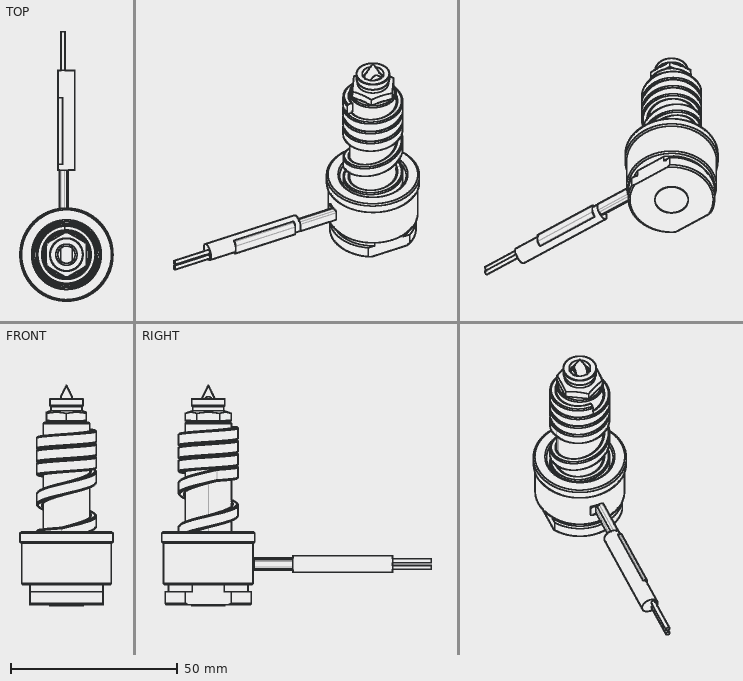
import cadquery as cq
import math

pad_radius = 5.0
pad_height = 0.2
foot_radius = 13.0
foot_top_z = 4.2
foot_neck_radius = 12.0
body_bottom_z = 6.2
body_radius = 13.5
rim_radius = 14.0
rim_bottom_z = 18.7
rim_top_z = 22.2
edge_chamfer = 0.5
wrench_flat_width = 22.0
well_radius = 10.0
well_floor_z = 7.2

core_radius = 7.0
core_top_z = 55.1
core_chamfer = 0.4
undercut_radius = 5.3
hex_bottom_z = 55.6
hex_across_flats = 12.0
hex_turn = 30.0
hex_corner_top_z = 57.75
neck_radius = 4.7
neck_bottom_z = 58.55
neck_top_z = 59.75
flange_radius = 5.0
flange_bottom_z = 60.2
flange_top_z = 62.2
flange_edge_chamfer = 0.15

tip_bore_radius = 3.2
tip_bore_floor_z = flange_bottom_z
tip_z = 66.2
tip_radius = 2.6
tip_slope = 0.5
tip_flat_width = 3.4

coil_outer_radius = 9.0
coil_inner_radius = 7.05
coil_web_radius = 6.8
coil_height = 3.75
coil_chamfer = 0.4
tight_pitch = 3.91
open_pitch = 13.3
coil_top_angle = 94.0
coil_top_z = 51.8
upper_tight_sweep = 3 * 360 + 78.0
open_sweep = 476.0
lower_tight_sweep = 3 * 360.0

cable_z = 12.5
gland_width = 4.2
gland_end_y = 13.8
gland_corner_radius = 0.5
cable_height = 3.7
cable_left_x = -2.15
cable_right_x = 0.05
cable_left_radius = 0.5
cable_right_radius = 0.72
strand_right_x = 0.55
strand_height = 2.7
strand_corner_radius = 0.5
sleeve_radius = 2.55
sleeve_start_y = 25.4
sleeve_length = 30.0
label_start_y = 27.2
label_length = 20.0
label_height = 4.6
label_corner_radius = 0.97
wire_diameter = 1.25
wire_x = -1.05
wire_spacing = 2.0
wire_end_y = 67.0


def revolve_profile(points):
    """Solid of revolution about Z from (radius, z) points."""
    return cq.Workplane("XZ").polyline(points).close().revolve(360, (0, 0, 0), (0, 1, 0))


def bar_along_y(width, height, length, center_x, start_y, center_z):
    """Rectangular bar running towards +Y."""
    bar = cq.Workplane("XY").box(width, length, height, centered=(True, False, True))
    return bar.translate((center_x, start_y, center_z))


def rod_along_y(radius, start_y, end_y, x, z):
    """Round rod running towards +Y."""
    return cq.Workplane(cq.Solid.makeCylinder(
        radius, end_y - start_y, cq.Vector(x, start_y, z), cq.Vector(0, 1, 0)))


def make_housing():
    """Foot, body and rim with a central well for the coil."""
    c = edge_chamfer
    housing = revolve_profile([
        (0, pad_height),
        (foot_radius - c, pad_height),
        (foot_radius, pad_height + c),
        (foot_radius, foot_top_z),
        (foot_neck_radius, foot_top_z),
        (foot_neck_radius, body_bottom_z),
        (body_radius - c, body_bottom_z),
        (body_radius, body_bottom_z + c),
        (body_radius, rim_bottom_z),
        (rim_radius, rim_bottom_z + c),
        (rim_radius, rim_top_z - c),
        (rim_radius - c, rim_top_z),
        (well_radius + c, rim_top_z),
        (well_radius, rim_top_z - c),
        (well_radius, well_floor_z + c),
        (well_radius - c, well_floor_z),
        (0, well_floor_z),
    ])
    flat_block = cq.Workplane("XY").box(
        rim_radius, 2 * rim_radius, body_bottom_z, centered=(False, True, False))
    flat_x = wrench_flat_width / 2
    housing = housing.cut(flat_block.translate((flat_x, 0, 0)))
    housing = housing.cut(flat_block.translate((-flat_x - rim_radius, 0, 0)))
    pad = cq.Workplane("XY").circle(pad_radius).extrude(2 * pad_height)
    return housing.union(pad)


def make_core():
    """Nozzle core with its hexagon, neck, bored flange and pointed tip."""
    hex_corner_radius = hex_across_flats / math.sqrt(3)
    core = revolve_profile([
        (0, body_bottom_z),
        (core_radius, body_bottom_z),
        (core_radius, core_top_z - core_chamfer),
        (core_radius - core_chamfer, core_top_z),
        (undercut_radius, core_top_z),
        (undercut_radius, hex_bottom_z),
        (0, hex_bottom_z),
    ])
    head = revolve_profile([
        (0, hex_bottom_z),
        (hex_corner_radius, hex_bottom_z),
        (hex_corner_radius, hex_corner_top_z),
        (neck_radius, neck_bottom_z),
        (neck_radius, neck_top_z),
        (flange_radius, flange_bottom_z),
        (flange_radius, flange_top_z - flange_edge_chamfer),
        (flange_radius - flange_edge_chamfer, flange_top_z),
        (tip_bore_radius, flange_top_z),
        (tip_bore_radius, tip_bore_floor_z),
        (0, tip_bore_floor_z),
    ])
    hexagon = (
        cq.Workplane("XY", origin=(0, 0, hex_bottom_z))
        .transformed(rotate=(0, 0, hex_turn))
        .polygon(6, 2 * hex_corner_radius)
        .extrude(tip_z - hex_bottom_z)
    )
    return core.union(head.intersect(hexagon)).union(make_tip())


def make_tip():
    """Round base carrying a cone with a flat on its +X and -X sides."""
    cone_base_z = tip_z - tip_radius / tip_slope
    base = (
        cq.Workplane("XY", origin=(0, 0, tip_bore_floor_z))
        .circle(tip_radius)
        .extrude(cone_base_z - tip_bore_floor_z)
    )
    cone = revolve_profile([(0, cone_base_z), (tip_radius, cone_base_z), (0, tip_z)])
    between_flats = cq.Workplane("XY", origin=(0, 0, cone_base_z)).box(
        tip_flat_width, 2 * tip_radius, tip_z - cone_base_z, centered=(True, True, False))
    return base.union(cone.intersect(between_flats))


def make_coil_section(pitch, sweep_angle, top_angle, top_z):
    """Right-hand coil of constant pitch, given by its upper end."""
    drop = pitch * sweep_angle / 360
    c = coil_chamfer
    top = coil_height / 2
    upper_half = [
        (coil_web_radius, top - c),
        (coil_inner_radius, top - c),
        (coil_inner_radius + c, top),
        (coil_outer_radius - c, top),
        (coil_outer_radius, top - c),
    ]
    lower_half = [(radius, -z) for radius, z in reversed(upper_half)]
    path = cq.Workplane(cq.Wire.makeHelix(pitch, drop, coil_outer_radius))
    section = cq.Workplane("XZ").polyline(upper_half + lower_half).close()
    coil = section.sweep(path, isFrenet=True)
    coil = coil.rotate((0, 0, 0), (0, 0, 1), top_angle - sweep_angle)
    return coil.translate((0, 0, top_z - drop))


def add_coil(base):
    """Add the three coil stretches one below the other."""
    angle = coil_top_angle
    mid_z = coil_top_z
    stretches = [
        (tight_pitch, upper_tight_sweep),
        (open_pitch, open_sweep),
        (tight_pitch, lower_tight_sweep),
    ]
    for pitch, sweep_angle in stretches:
        base = base.union(make_coil_section(pitch, sweep_angle, angle, mid_z))
        angle -= sweep_angle
        mid_z -= pitch * sweep_angle / 360
    return base


def make_cable():
    """Gland, flat cable, sleeve with a raised label and two bare wires."""
    wall_y = (well_radius + body_radius) / 2
    gland = bar_along_y(gland_width, cable_height, gland_end_y - wall_y, 0, wall_y, cable_z)
    gland = gland.edges("|Y").fillet(gland_corner_radius)

    cable_length = sleeve_start_y - wall_y
    cable = bar_along_y(
        cable_right_x - cable_left_x, cable_height, cable_length,
        (cable_left_x + cable_right_x) / 2, wall_y, cable_z)
    cable = cable.edges("|Y and <X").fillet(cable_left_radius)
    cable = cable.edges("|Y and >X").fillet(cable_right_radius)
    strand_width = strand_right_x - wire_x
    strand = bar_along_y(
        strand_width, strand_height, cable_length,
        wire_x + strand_width / 2, wall_y, cable_z)
    cable = cable.union(strand.edges("|Y and >X").fillet(strand_corner_radius))

    sleeve_end_y = sleeve_start_y + sleeve_length
    sleeve = rod_along_y(sleeve_radius, sleeve_start_y, sleeve_end_y, 0, cable_z)
    label = bar_along_y(
        sleeve_radius, label_height, label_length, -sleeve_radius / 2, label_start_y, cable_z)
    label = label.edges("|Y and <X").fillet(label_corner_radius)

    cable = gland.union(cable).union(sleeve).union(label)
    for side in (-1, 1):
        wire_z = cable_z + side * wire_spacing / 2
        cable = cable.union(
            rod_along_y(wire_diameter / 2, sleeve_end_y, wire_end_y, wire_x, wire_z))
    return cable


nozzle = add_coil(make_housing().union(make_core()))
result = nozzle.union(make_cable()).solids()